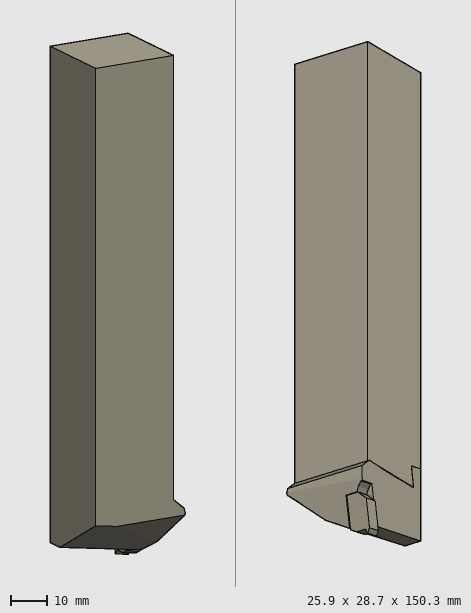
import cadquery as cq
import math


overall_length = 150.3
shank_size = 25.0

rake_angle = 10.0
rake_slope = math.tan(math.radians(rake_angle))
bottom_height = 7.2
head_top = 22.2
brow_depth = 28.7
brow_height = 17.9
brow_lip = (28.3, 19.4)
face_twist_angle = 1.0

pad_slope = 0.019
pad_step = [(0, 29.3), (4.5, 28.4), (3.5, head_top)]

bevel_start = 5.4
bevel_angle = 30.0
rear_bevel_height = 17.3
rear_bevel_angle = 41.0

seat_y = 23.6
seat_z = 15.6
pocket_width = 5.4
insert_thickness = 4.2
side_reach = shank_size - 25.9
notch_depth = 1.7
notch_break = (1.0, 1.4)
notch_bottom = 2.7
insert_shoulder = 5.1
nose_height = 1.4
nose_tip_x = -0.2
nose_inner_x = 0.6
insert_flat_end = 3.6

rake = math.radians(rake_angle)
insert_end = (seat_z - insert_thickness * math.sin(rake)) / math.cos(rake)
insert_base = insert_end - nose_height
seat = cq.Plane(
    origin=(0, seat_y, seat_z),
    xDir=(1, 0, 0),
    normal=(0, math.cos(rake), -math.sin(rake)),
)
margin = 7.5


def side_profile(points, start, end):
    """Solid from (Y, Z) points, spanning X from start to end."""
    return cq.Workplane("YZ").workplane(offset=start).polyline(points).close().extrude(end - start)


def head_outline():
    """(Y, Z) points around the head's front and bottom, below the head top."""
    front_bottom = (brow_depth - (brow_height - bottom_height) * rake_slope) / (1 + rake_slope**2)
    return [
        (shank_size, head_top),
        brow_lip,
        (brow_depth, brow_height),
        (front_bottom, bottom_height - front_bottom * rake_slope),
        (0, bottom_height),
    ]


def make_blank():
    outline = [(0, overall_length), (shank_size, overall_length)] + head_outline()
    return side_profile(outline, 0, shank_size)


def make_side_pad():
    pad = side_profile(head_outline() + pad_step, side_reach, 0)
    wedge = (
        cq.Workplane("XY")
        .polyline([(0, 0), (0, brow_depth), (-pad_slope * brow_depth, brow_depth)])
        .close()
        .extrude(overall_length)
    )
    return pad.intersect(wedge)


def make_front_twist():
    """Wedge that tilts the front of the head back toward -X."""
    run = shank_size - side_reach
    setback = run * math.tan(math.radians(face_twist_angle))
    return (
        cq.Workplane("XY")
        .polyline([
            (shank_size, brow_depth),
            (side_reach, brow_depth - setback),
            (side_reach, brow_depth),
        ])
        .close()
        .extrude(overall_length)
    )


def make_clearance():
    """Cutters for the raked bevel and the steeper bevel behind it."""
    run = shank_size + margin - bevel_start
    rise = run * math.tan(math.radians(bevel_angle))
    section = cq.Wire.makePolygon(
        [
            cq.Vector(bevel_start, 0, bottom_height),
            cq.Vector(bevel_start + run, 0, bottom_height + rise),
            cq.Vector(bevel_start + run, 0, -margin),
            cq.Vector(bevel_start, 0, -margin),
        ],
        close=True,
    )
    slant = cq.Vector(0, brow_depth, -brow_depth * rake_slope)
    raked = cq.Workplane(cq.Solid.extrudeLinear(section, [], slant))
    drop = rear_bevel_height / math.tan(math.radians(rear_bevel_angle))
    steep = (
        cq.Workplane("XZ")
        .polyline([(shank_size, rear_bevel_height), (shank_size - drop, 0), (shank_size, 0)])
        .close()
        .extrude(-brow_depth)
    )
    return raked.union(steep)


def make_pocket():
    return (
        cq.Workplane(seat)
        .polyline([
            (-margin, 0),
            (0, 0),
            notch_break,
            (notch_depth, notch_bottom),
            (pocket_width, notch_bottom),
            (pocket_width, insert_end + margin),
            (-margin, insert_end + margin),
        ])
        .close()
        .extrude(margin)
    )


def make_holder():
    body = make_blank().union(make_side_pad())
    return body.cut(make_front_twist()).cut(make_clearance()).cut(make_pocket())


def make_insert():
    corner_rise = (pocket_width - insert_flat_end) * math.tan(math.radians(bevel_angle))
    return (
        cq.Workplane(seat)
        .polyline([
            (notch_depth, notch_bottom),
            (side_reach, insert_shoulder),
            (side_reach, insert_base),
            (nose_tip_x, insert_end),
            (nose_inner_x, insert_base),
            (insert_flat_end, insert_base),
            (pocket_width, insert_base - corner_rise),
            (pocket_width, notch_bottom),
        ])
        .close()
        .extrude(insert_thickness)
    )


holder = make_holder()
insert = make_insert()
result = cq.Compound.makeCompound([holder.val(), insert.val()])